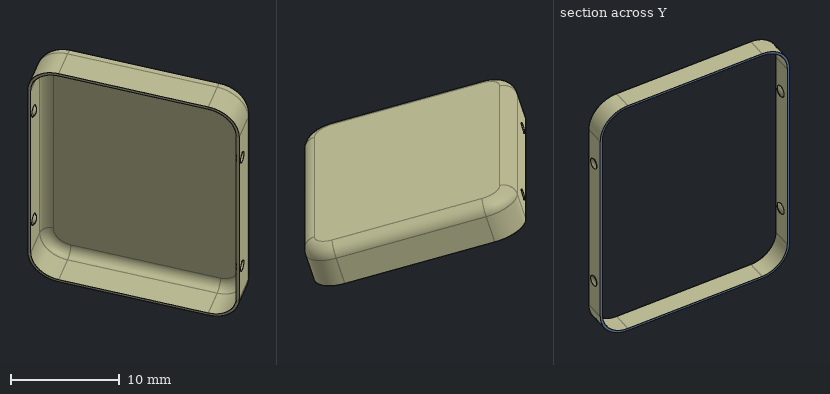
import cadquery as cq

WIDTH = 20.4
HEIGHT = 26.9
DEPTH = 4.0
WALL = 0.3
CORNER_RADIUS = 2.99
BACK_FILLET = 1.3

DIMPLE_RADIUS = 0.55
BUMP_RADIUS = 0.6
DIMPLE_DEPTH = 0.25
DIMPLE_FROM_RIM = 0.9
DIMPLE_HALF_SPACING = 7.0


def rounded_block(inset):
    """Block with rounded corners and back edge, inset on all sides except the rim."""
    block = (
        cq.Workplane("XZ")
        .rect(WIDTH - 2 * inset, HEIGHT - 2 * inset)
        .extrude(-(DEPTH - inset))
    )
    block = block.edges("|Y").fillet(CORNER_RADIUS - inset)
    return block.faces(">Y").edges().fillet(BACK_FILLET - inset)


def inward_dome(side, face_x, z, base_radius):
    """Spherical cap standing inward from the plane at face_x on the given side (+1 or -1)."""
    sphere_radius = (base_radius**2 + DIMPLE_DEPTH**2) / (2 * DIMPLE_DEPTH)
    profile = (
        cq.Workplane("XY")
        .moveTo(face_x, DIMPLE_FROM_RIM)
        .lineTo(face_x, DIMPLE_FROM_RIM + base_radius)
        .radiusArc((face_x - side * DIMPLE_DEPTH, DIMPLE_FROM_RIM), -side * sphere_radius)
        .close()
    )
    dome = profile.revolve(360, (face_x, DIMPLE_FROM_RIM), (face_x + 0.27, DIMPLE_FROM_RIM))
    return dome.translate((0, 0, z))


result = rounded_block(0).cut(rounded_block(WALL))

for side in (-1, 1):
    outer_face = side * WIDTH / 2
    inner_face = outer_face - side * WALL
    for z in (-DIMPLE_HALF_SPACING, DIMPLE_HALF_SPACING):
        result = result.union(inward_dome(side, inner_face, z, BUMP_RADIUS))
        result = result.cut(inward_dome(side, outer_face, z, DIMPLE_RADIUS))